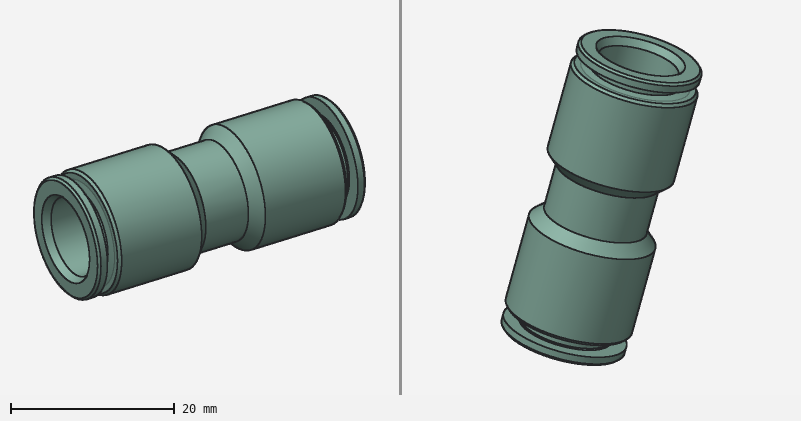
import cadquery as cq

length = 38.2
half_length = length / 2

body_diameter = 16.0
body_radius = body_diameter / 2
neck_radius = 6.5
flange_radius = 7.8
collar_radius = 5.73
end_face_cone_radius = 6.88

flange_thickness = 1.22
body_end_inset = 2.75
shoulder_inset = 14.55
body_chamfer_width = 0.35
body_chamfer_length = 0.4
flange_chamfer = 0.3
end_face_cone_height = 0.2
collar_flare_length = 0.2
collar_flare_width = 0.08

tube_radius = 5.05
mouth_radius = 5.6
mouth_depth = 1.0
passage_radius = 4.47
tube_stop_inset = 14.5
tube_stop_length = 0.35

shoulder_drop = body_radius - neck_radius
neck_half_length = half_length - shoulder_inset - shoulder_drop

socket_end = half_length - tube_stop_inset
passage_half_length = socket_end - tube_stop_length

body_end = half_length - body_end_inset
flange_inner_face = half_length - flange_thickness

half_outline = [
    (neck_radius, neck_half_length),
    (body_radius, half_length - shoulder_inset),
    (body_radius, body_end - body_chamfer_length),
    (body_radius - body_chamfer_width, body_end),
    (end_face_cone_radius, body_end),
    (collar_radius, body_end + end_face_cone_height),
    (collar_radius, flange_inner_face - collar_flare_length),
    (collar_radius + collar_flare_width, flange_inner_face),
    (flange_radius, flange_inner_face),
    (flange_radius, half_length - flange_chamfer),
    (flange_radius - flange_chamfer, half_length),
    (mouth_radius, half_length),
    (tube_radius, half_length - mouth_depth),
    (tube_radius, socket_end),
    (passage_radius, passage_half_length),
]
mirrored_outline = [(radius, -position) for radius, position in reversed(half_outline)]

result = (
    cq.Workplane("XY")
    .polyline(half_outline + mirrored_outline)
    .close()
    .revolve(360, (0, 0, 0), (0, 1, 0))
)